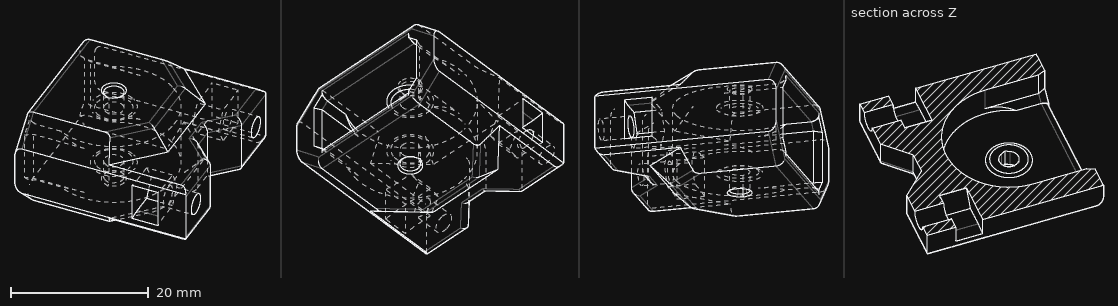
import cadquery as cq
import math

length = 27.5
width = 27.5
height = 16.0
front_x = -length / 2
rear_x = length / 2
edge_chamfer = 4.0
overrun = 5.5

slab_height = 9.7
rim_radius = 1.18
notch_depth = 3.7
notch_floor_width = 3.3

plateau_front_x = 7.45
plateau_front_width = 12.92
plateau_radius = 1.48
plateau_rise = (height - slab_height) / 2

pivot_x = -4.24
cavity_width = 19.52
cavity_height = 10.12
cavity_chamfer = 1.07
mouth_flare = 0.52
mouth_corner_flare = 0.28
mouth_depth = 1.18

pivot_radius = 1.48
pivot_tip_ratio = 1.12
pivot_chamfer = 0.33
washer_base_radius = 3.4
washer_top_radius = 2.8
washer_rise = 0.28

nut_x = 5.1
nut_thickness = 4.15
nut_flats = 5.55
nut_mouth = 6.0
screw_y = 10.3
screw_radius = 1.6


def octagon_points(total_width, total_height, chamfer):
    y, z = total_width / 2, total_height / 2
    return [
        (y, z - chamfer), (y - chamfer, z), (chamfer - y, z), (-y, z - chamfer),
        (-y, chamfer - z), (chamfer - y, -z), (y - chamfer, -z), (y, chamfer - z),
    ]


def mirrored_pair(shape, plane):
    return shape.union(shape.mirror(plane))


def make_slab():
    half_floor = notch_floor_width / 2
    half_mouth = half_floor + notch_depth
    far_y = width / 2 + overrun
    outline = [
        (front_x, -far_y), (rear_x, -far_y), (rear_x, -half_mouth), (rear_x - notch_depth, -half_floor),
        (rear_x - notch_depth, half_floor), (rear_x, half_mouth), (rear_x, far_y), (front_x, far_y),
    ]
    slab = cq.Workplane("XY").polyline(outline).close().extrude(slab_height / 2, both=True)
    rear_edges = slab.faces("|Z").edges("not (<X or <Y or >Y)")
    return rear_edges.fillet(rim_radius)


def make_plateau():
    half_front = plateau_front_width / 2
    far_x = front_x - overrun
    far_y = width / 2 + overrun
    flank_x = plateau_front_x - (far_y - half_front)
    outline = [
        (far_x, -far_y), (flank_x, -far_y), (plateau_front_x, -half_front),
        (plateau_front_x, half_front), (flank_x, far_y), (far_x, far_y),
    ]
    plateau = (
        cq.Workplane("XY").workplane(offset=slab_height / 2)
        .polyline(outline).close().extrude(plateau_rise, taper=45)
    )
    return mirrored_pair(plateau.faces(">Z").edges().fillet(plateau_radius), "XY")


def make_body():
    prism = (
        cq.Workplane("YZ").workplane(offset=front_x)
        .polyline(octagon_points(width, height, edge_chamfer)).close().extrude(length)
    )
    body = prism.intersect(make_slab().union(make_plateau()))
    return body.faces("<X").edges("not |Z").fillet(rim_radius)


def make_cavity():
    section = octagon_points(cavity_width, cavity_height, cavity_chamfer)
    tunnel = (
        cq.Workplane("YZ").workplane(offset=front_x)
        .polyline(section).close().extrude(pivot_x - front_x)
    )
    end = (
        cq.Workplane("XY").center(pivot_x, 0)
        .circle(cavity_width / 2).extrude(cavity_height / 2, both=True)
    )
    return tunnel.union(end)


def make_mouth():
    inner = octagon_points(cavity_width, cavity_height, cavity_chamfer)
    outer_chamfer = cavity_chamfer + 2 * mouth_flare - mouth_corner_flare * math.sqrt(2)
    outer = octagon_points(cavity_width + 2 * mouth_flare, cavity_height + 2 * mouth_flare, outer_chamfer)
    flare = (
        cq.Workplane("YZ").workplane(offset=front_x).polyline(outer).close()
        .workplane(offset=mouth_depth).polyline(inner).close().loft(ruled=True)
    )
    lip_z = cavity_height / 2
    lip_width = cavity_width - 2 * cavity_chamfer
    flare = flare.cut(cq.Workplane("XY").box(length, lip_width, height))
    lip = (
        cq.Workplane("XZ").moveTo(front_x, 0).lineTo(front_x, lip_z + mouth_depth)
        .radiusArc((front_x + mouth_depth, lip_z), -mouth_depth)
        .lineTo(front_x + mouth_depth, 0).close().extrude(lip_width / 2, both=True)
    )
    return flare.union(mirrored_pair(lip, "XY"))


def drop_outline(plane, radius):
    """Circle with two tangent lines that meet in a shallow tip towards -Y."""
    tip_y = -radius * pivot_tip_ratio
    tangent_y = -radius / pivot_tip_ratio
    tangent_x = math.sqrt(radius**2 - tangent_y**2)
    return (
        plane.moveTo(0, tip_y).lineTo(tangent_x, tangent_y)
        .threePointArc((0, radius), (-tangent_x, tangent_y)).close()
    )


def make_pivot_hole():
    plane = cq.Workplane("XY").center(pivot_x, 0)
    bore = drop_outline(plane, pivot_radius).extrude(height / 2, both=True)
    top = cq.Workplane("XY", origin=(pivot_x, 0, height / 2))
    countersink = drop_outline(top, pivot_radius + pivot_chamfer).extrude(-pivot_chamfer, taper=45)
    return bore.union(mirrored_pair(countersink, "XY"))


def make_washers():
    washer = (
        cq.Workplane("XY", origin=(pivot_x, 0, cavity_height / 2 - washer_rise)).circle(washer_top_radius)
        .workplane(offset=washer_rise).circle(washer_base_radius).loft()
    )
    return mirrored_pair(washer, "XY")


def make_nut_traps():
    half_flats = nut_flats / 2
    half_side = half_flats / math.sqrt(3)
    tip_y = 2 * half_side
    outline = [
        (tip_y - screw_y, 0), (half_side - screw_y, half_flats), (-half_side - screw_y, half_flats),
        (-width / 2, nut_mouth / 2), (-width / 2, -nut_mouth / 2),
        (-half_side - screw_y, -half_flats), (half_side - screw_y, -half_flats),
    ]
    trap = (
        cq.Workplane("YZ").workplane(offset=nut_x).polyline(outline).close().extrude(nut_thickness)
    )
    screw_hole = (
        cq.Workplane("YZ").workplane(offset=nut_x).center(-screw_y, 0)
        .circle(screw_radius).extrude(rear_x - nut_x)
    )
    return mirrored_pair(trap.union(screw_hole), "XZ")


result = (
    make_body()
    .cut(make_cavity())
    .cut(make_mouth())
    .union(make_washers())
    .cut(make_pivot_hole())
    .cut(make_nut_traps())
)